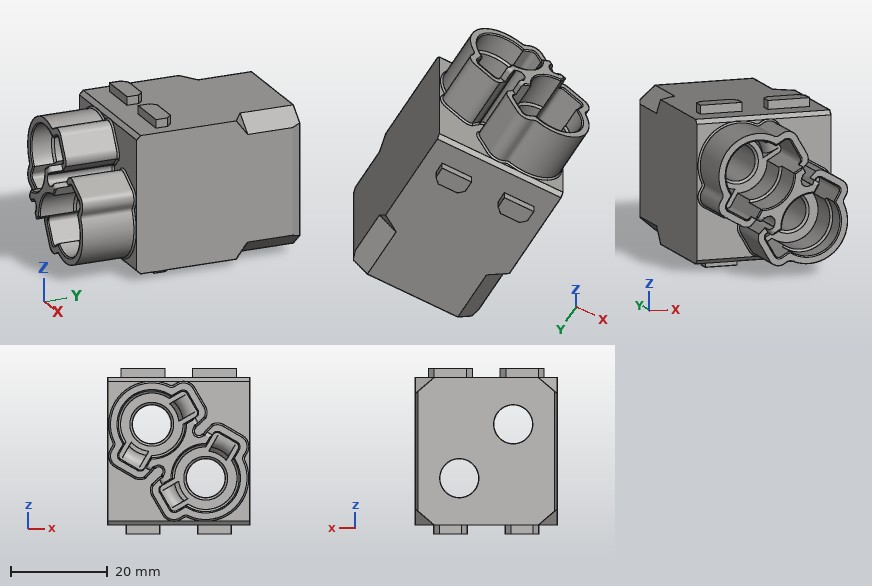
import cadquery as cq
import math

TOTAL_LENGTH = 52.0

BODY_WIDTH = 29.4
BODY_HEIGHT = 30.45
BODY_LENGTH = 37.1
FRONT_CHAMFER = 0.9
REAR_TAPER_DEPTH = 0.6
REAR_TAPER_LENGTH = 1.9

BEVEL_WIDTH = 3.95
BEVEL_HEIGHT = 3.4
BEVEL_LENGTH = 12.0
BEVEL_RUNOUT = 2.6

KEY_RISE = 1.85
KEY_FRONT = 5.55
KEY_LENGTH = 3.8
KEY_CORNER = 1.2
KEY_OFFSET = 7.4
TOP_KEY_WIDTH = 9.1
BOTTOM_KEY_WIDTH = 6.95

PORT_OFFSET = 5.55
BOSS_LENGTH = 11.9
TIP_LENGTH = TOTAL_LENGTH - BODY_LENGTH
WALL = 1.35
INNER_BLEND = 1.05
BASE_FLARE = 0.35
CHAMFER_ANGLE = 45

MOUTH_RADIUS = 7.2
MOUTH_CHAMFER = 0.25
SLOT_HALF_WIDTH = 3.0
SLOT_REACH = 9.45
SLOT_CORNER = 0.95
SLOT_SHIFT = 0.2
SLOTS = ((30, -1), (240, 1))
BORE_RADIUS = MOUTH_RADIUS - MOUTH_CHAMFER
SEAT_RADIUS = 6.45
SEAT_DEPTH = 4.7
CAVITY_DEPTH = 12.5
CAVITY_FLOOR = CAVITY_DEPTH - BOSS_LENGTH
HOLE_RADIUS = 4.0
HOLE_CHAMFER = 0.5

RECESS_HALF_WIDTH = 2.05
RECESS_INNER = 5.6
RECESS_EDGE = 6.5
RECESS_OUTER = 9.15
RECESS_RAMP = 1.3

BRIDGE_ANGLE = 45
BRIDGE_HALF_WIDTH = 2.1
NOTCH_CENTER = 5.9
NOTCH_RADIUS = 1.3
WEB_CHAMFER = 0.25
WEB_REACH = 8.4
WEB_ROUND = 0.85

AXIS_START = (0, 0, 0)
AXIS_END = (0, 1, 0)
FAR = 31.2


def front_plane(y):
    """Sketch on a plane facing -Y: local x is X, local y is Z."""
    return cq.Workplane("XZ", origin=(0, y, 0))


def turn(shape, degrees):
    """Turn counter-clockwise as seen from the front."""
    return shape.rotate(AXIS_START, AXIS_END, -degrees)


def to_port(shape):
    """Move a shape built about the Y axis to the upper left port."""
    return shape.translate((-PORT_OFFSET, 0, PORT_OFFSET))


def both_ports(shape):
    """Pair an upper left shape with its half-turn copy."""
    return shape.union(turn(shape, 180))


def make_body():
    """Main block with a chamfered front and slightly tapered rear edges."""
    body = cq.Workplane("XY").box(BODY_WIDTH, BODY_LENGTH, BODY_HEIGHT)
    body = body.translate((0, BODY_LENGTH / 2, 0))
    body = body.faces("<Y").edges("|X").chamfer(FRONT_CHAMFER)
    half = BODY_WIDTH / 2
    for side in (1, -1):
        taper = (
            cq.Workplane("XY")
            .polyline([
                (side * half, BODY_LENGTH - REAR_TAPER_LENGTH),
                (side * half, BODY_LENGTH),
                (side * (half - REAR_TAPER_DEPTH), BODY_LENGTH),
            ])
            .close()
            .extrude(BODY_HEIGHT / 2, both=True)
        )
        body = body.cut(taper)
    return body


def corner_bevel(side, level):
    """Cutter for one long corner; its front end runs out to the corner edge."""
    bevel_end = BODY_LENGTH - BEVEL_LENGTH
    edge = math.hypot(BEVEL_WIDTH, BEVEL_HEIGHT)
    corner_depth = BEVEL_WIDTH * BEVEL_HEIGHT / edge
    outward = (side * BEVEL_HEIGHT / edge, 0, level * BEVEL_WIDTH / edge)
    along = (side * BEVEL_WIDTH / edge, 0, -level * BEVEL_HEIGHT / edge)
    origin = (side * (BODY_WIDTH / 2 - BEVEL_WIDTH), bevel_end, level * BODY_HEIGHT / 2)
    rearward = -side * level
    return (
        cq.Workplane(cq.Plane(origin=origin, xDir=outward, normal=along))
        .polyline([
            (0, 0),
            (corner_depth, -rearward * BEVEL_RUNOUT),
            (corner_depth, rearward * BEVEL_LENGTH),
            (0, rearward * BEVEL_LENGTH),
        ])
        .close()
        .extrude(edge + BEVEL_WIDTH, both=True)
    )


def make_key(x, width, level):
    """Key on the top (level 1) or bottom (level -1) face, its rear corners cut off."""
    key = (
        cq.Workplane("XY")
        .box(width, KEY_LENGTH, KEY_RISE)
        .edges("|Z and >Y")
        .chamfer(KEY_CORNER)
    )
    height = level * (BODY_HEIGHT + KEY_RISE) / 2
    return key.translate((x, KEY_FRONT + KEY_LENGTH / 2, height))


def slot_box(length, thickness, half_width, side):
    """Box along +X from the port axis, shifted toward the web side."""
    box = cq.Workplane("XY").box(length, thickness, 2 * half_width)
    return box.translate((length / 2, 0, side * SLOT_SHIFT))


def cavity_wire(mouth_growth=0.0):
    """Port cavity section about the origin: a round bore with two side slots.

    The mouth growth widens every side except the slot sides along the web.
    """
    half_slab = 0.5
    section = front_plane(0).circle(BORE_RADIUS + mouth_growth).extrude(half_slab, both=True)
    for angle, side in SLOTS:
        slot = slot_box(SLOT_REACH + mouth_growth, 2 * half_slab, SLOT_HALF_WIDTH, side)
        grown = slot.translate((0, 0, -side * mouth_growth))
        slot = slot.union(grown).clean().edges("|Y and >X").fillet(SLOT_CORNER)
        section = section.union(turn(slot, angle))
    return section.faces("<Y").wires().val().translate(cq.Vector(0, half_slab, 0))


def prism(wire, y, length, taper=0.0):
    """Extrude a section wire from the given Y toward -Y."""
    wires = [wire.translate(cq.Vector(0, y, 0))]
    return front_plane(y).newObject(wires).toPending().extrude(length, taper=taper)


def make_column():
    """Solid twin-port column out to the tip, with a notch at each end of the bridge."""
    grown = cavity_wire(MOUTH_CHAMFER).offset2D(WALL + INNER_BLEND)[0]
    outline = grown.offset2D(-INNER_BLEND)[0]
    column = both_ports(to_port(prism(outline, 0, TIP_LENGTH)))
    bridge = front_plane(0).rect(2 * NOTCH_CENTER, 2 * BRIDGE_HALF_WIDTH).extrude(TIP_LENGTH)
    column = column.union(turn(bridge, BRIDGE_ANGLE))
    notch = (
        front_plane(0)
        .center(NOTCH_CENTER + NOTCH_RADIUS, 0)
        .slot2D(4 * NOTCH_RADIUS, 2 * NOTCH_RADIUS)
        .extrude(TIP_LENGTH)
    )
    return column.cut(both_ports(turn(notch, BRIDGE_ANGLE))).clean()


def make_flare(column):
    """Sloped skirt where the boss meets the mounting face."""
    outline = column.faces(">Y").wires().val()
    return prism(outline.offset2D(BASE_FLARE)[0], 0, BASE_FLARE, taper=CHAMFER_ANGLE)


def make_web(column):
    """Part of the column beyond the boss, trimmed along the slots and at the arm ends.

    The upper left half is shaped by the slots of its own port, then copied by a half turn.
    """
    start = MOUTH_CHAMFER - BOSS_LENGTH
    web_side = SLOT_HALF_WIDTH + SLOT_SHIFT
    half = front_plane(start).center(0, FAR / 2).rect(FAR, FAR).extrude(TIP_LENGTH + start)
    half_web = column.intersect(turn(half, BRIDGE_ANGLE))
    for angle, side in SLOTS:
        limit = (
            front_plane(start)
            .center(WEB_REACH - FAR / 2, side * (web_side + FAR / 2))
            .rect(FAR, FAR)
            .extrude(TIP_LENGTH + start)
            .edges(">X and <Y")
            .fillet(WEB_ROUND)
        )
        bevel = (
            cq.Workplane("YZ", origin=(-FAR, 0, 0))
            .polyline([
                (-TIP_LENGTH, side * web_side),
                (-TIP_LENGTH, side * (web_side + WEB_CHAMFER)),
                (WEB_CHAMFER - TIP_LENGTH, side * web_side),
            ])
            .close()
            .extrude(2 * FAR)
        )
        limit = limit.cut(bevel)
        half_web = half_web.intersect(to_port(turn(limit, angle)))
    return both_ports(half_web)


def make_seat():
    """Ring left standing inside the bore, with a conical front, broken by the slots."""
    cone_end = SEAT_DEPTH - BOSS_LENGTH + BORE_RADIUS - SEAT_RADIUS
    ring = (
        cq.Workplane("XY")
        .polyline([
            (BORE_RADIUS, SEAT_DEPTH - BOSS_LENGTH),
            (SEAT_RADIUS, cone_end),
            (SEAT_RADIUS, CAVITY_FLOOR),
            (BORE_RADIUS, CAVITY_FLOOR),
        ])
        .close()
        .revolve(360, AXIS_START, AXIS_END)
    )
    for angle, side in SLOTS:
        gap = slot_box(FAR, FAR, SLOT_HALF_WIDTH, side)
        ring = ring.cut(turn(gap, angle))
    return ring


def make_mouth():
    """Flared mouth of one port; the slot sides along the web stay straight."""
    narrow = cavity_wire()
    wide = cavity_wire(MOUTH_CHAMFER)
    start = MOUTH_CHAMFER - BOSS_LENGTH
    flared = prism(narrow, start, MOUTH_CHAMFER, taper=-CHAMFER_ANGLE)
    return flared.intersect(prism(wide, start, MOUTH_CHAMFER))


def make_slotted_cavity():
    """Bore and slots of one port down to the cavity floor."""
    slots = prism(cavity_wire(), CAVITY_FLOOR, CAVITY_DEPTH)
    return slots.cut(make_seat()).union(make_mouth())


def make_hole():
    """Through hole of one port with a conical lead-in at the cavity floor."""
    return (
        cq.Workplane("XY")
        .polyline([
            (0, CAVITY_FLOOR),
            (HOLE_RADIUS + HOLE_CHAMFER, CAVITY_FLOOR),
            (HOLE_RADIUS, CAVITY_FLOOR + HOLE_CHAMFER),
            (HOLE_RADIUS, BODY_LENGTH),
            (0, BODY_LENGTH),
        ])
        .close()
        .revolve(360, AXIS_START, AXIS_END)
    )


def make_recesses():
    """Latch recesses of one port: a cone that rolls over into the slot floor."""
    roll = RECESS_OUTER - RECESS_EDGE
    diagonal = roll * math.sqrt(0.5)
    ring = (
        cq.Workplane("XY")
        .moveTo(RECESS_INNER, CAVITY_FLOOR)
        .lineTo(RECESS_INNER, CAVITY_FLOOR + roll + RECESS_RAMP)
        .lineTo(RECESS_EDGE, CAVITY_FLOOR + roll)
        .threePointArc(
            (RECESS_OUTER - diagonal, CAVITY_FLOOR + roll - diagonal),
            (RECESS_OUTER, CAVITY_FLOOR),
        )
        .close()
        .revolve(360, AXIS_START, AXIS_END)
    )
    recesses = cq.Workplane("XY")
    for angle, side in SLOTS:
        window = slot_box(FAR, FAR, RECESS_HALF_WIDTH, side)
        recesses = recesses.add(ring.intersect(turn(window, angle)))
    return recesses.combine()


def make_web_bore():
    """Bore of one port where it passes the web, chamfered at the tip."""
    return (
        front_plane(MOUTH_CHAMFER - BOSS_LENGTH)
        .circle(BORE_RADIUS)
        .extrude(TIP_LENGTH - BOSS_LENGTH + MOUTH_CHAMFER)
        .faces("<Y")
        .workplane(offset=-MOUTH_CHAMFER)
        .circle(BORE_RADIUS)
        .extrude(MOUTH_CHAMFER, taper=-CHAMFER_ANGLE)
    )


body = make_body()
for level, width in ((1, TOP_KEY_WIDTH), (-1, BOTTOM_KEY_WIDTH)):
    for side in (1, -1):
        body = body.cut(corner_bevel(side, level))
        body = body.union(make_key(side * KEY_OFFSET, width, level))

column = make_column()
boss = column.intersect(front_plane(0).rect(2 * FAR, 2 * FAR).extrude(BOSS_LENGTH))
part = body.union(boss).union(make_flare(column))
for cutter in (make_slotted_cavity(), make_hole(), make_recesses()):
    part = part.cut(both_ports(to_port(cutter)))

web = make_web(column).cut(both_ports(to_port(make_web_bore())))
result = part.union(web).clean()